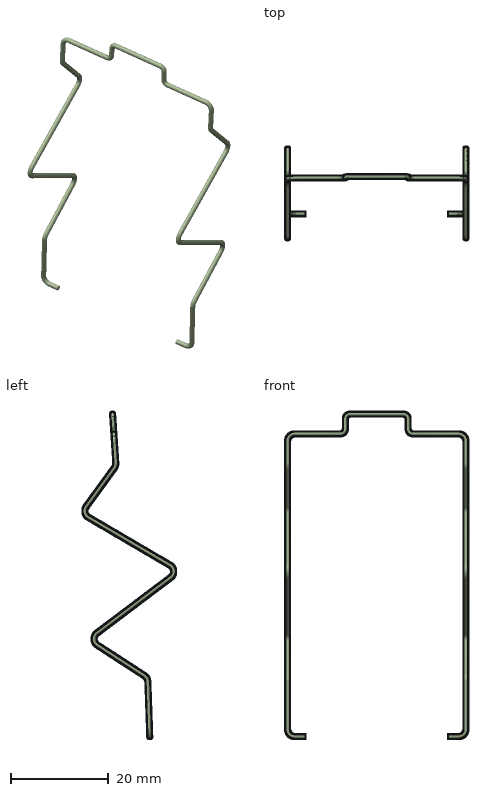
import cadquery as cq
import math

WIDTH = 37.6
HEIGHT = 67.17
WIRE_DIAMETER = 1.03

BEND_RADIUS = 1.5
HANDLE_BEND_RADIUS = 1.0

HANDLE_HALF_WIDTH = 6.45
HANDLE_RISE = 4.05

HOOK_LENGTH = 4.2

NECK = (2.72, 22.5)
BACK_UPPER = (9.81, 12.74)
FRONT_PEAK = (-10.33, 0.94)
BACK_LOWER = (8.34, -13.14)
ANKLE = (-3.79, -21.02)

TOP_LEAN = 3.77
FOOT_LEAN = 2.0

WIRE_RADIUS = WIRE_DIAMETER / 2
LEG_X = WIDTH / 2 - WIRE_RADIUS
HANDLE_Z = HEIGHT / 2 - WIRE_RADIUS
SHOULDER_Z = HANDLE_Z - HANDLE_RISE
FOOT_Z = -HANDLE_Z
HOOK_END_X = WIDTH / 2 - HOOK_LENGTH


def top_y(z):
    """Y of the leaning plane that holds the top bar and the upper leg ends."""
    return NECK[0] + (z - NECK[1]) * math.tan(math.radians(TOP_LEAN))


def foot_y():
    """Y of the hook, where the leaning lower leg ends."""
    return ANKLE[0] + (FOOT_Z - ANKLE[1]) * math.tan(math.radians(FOOT_LEAN))


def right_half_corners():
    """Sharp centreline corners on the +X side, from the handle to the hook end, each with its bend radius."""
    corners = [
        (cq.Vector(HANDLE_HALF_WIDTH, top_y(HANDLE_Z), HANDLE_Z), HANDLE_BEND_RADIUS),
        (cq.Vector(HANDLE_HALF_WIDTH, top_y(SHOULDER_Z), SHOULDER_Z), HANDLE_BEND_RADIUS),
        (cq.Vector(LEG_X, top_y(SHOULDER_Z), SHOULDER_Z), BEND_RADIUS),
    ]
    for y, z in (NECK, BACK_UPPER, FRONT_PEAK, BACK_LOWER, ANKLE):
        corners.append((cq.Vector(LEG_X, y, z), BEND_RADIUS))
    corners.append((cq.Vector(LEG_X, foot_y(), FOOT_Z), BEND_RADIUS))
    corners.append((cq.Vector(HOOK_END_X, foot_y(), FOOT_Z), 0))
    return corners


def bend_points(before, corner, after, radius):
    """Start, middle and end of the arc that rounds a corner."""
    toward_before = (before - corner).normalized()
    toward_after = (after - corner).normalized()
    half_angle = toward_before.getAngle(toward_after) / 2
    tangent_length = radius / math.tan(half_angle)
    middle_distance = radius / math.sin(half_angle) - radius
    bisector = (toward_before + toward_after).normalized()
    return (
        corner + toward_before * tangent_length,
        corner + bisector * middle_distance,
        corner + toward_after * tangent_length,
    )


def rounded_path(corners):
    """Wire through the corners, with every inner corner rounded to its radius."""
    position = corners[0][0]
    edges = []
    for index in range(1, len(corners) - 1):
        corner, radius = corners[index]
        start, middle, end = bend_points(corners[index - 1][0], corner, corners[index + 1][0], radius)
        edges.append(cq.Edge.makeLine(position, start))
        edges.append(cq.Edge.makeThreePointArc(start, middle, end))
        position = end
    edges.append(cq.Edge.makeLine(position, corners[-1][0]))
    return cq.Wire.assembleEdges(edges)


def spring_wire():
    """Round wire swept from one hook end, over the handle, to the other hook end."""
    right_half = right_half_corners()
    left_half = [(cq.Vector(-point.x, point.y, point.z), radius) for point, radius in reversed(right_half)]
    path = rounded_path(left_half + right_half)
    hook_end = cq.Plane(origin=path.startPoint(), normal=cq.Vector(-1, 0, 0))
    return cq.Workplane(hook_end).circle(WIRE_RADIUS).sweep(cq.Workplane(path))


result = spring_wire()